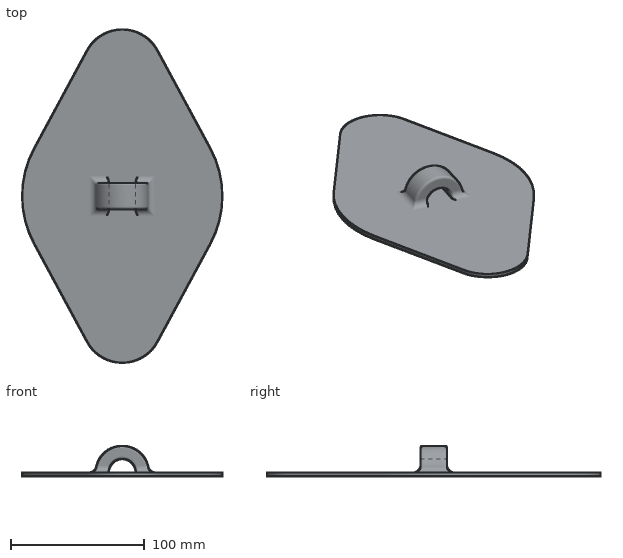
import cadquery as cq
import math

length = 249.8
width = 150.0
thickness = 3.0
side_radius = width / 2
end_radius = 30.0
end_center = length / 2 - end_radius

loop_radius = 20.0
hole_radius = 10.0
loop_width = 20.0
edge_radius = 2.0
flare_radius = 5.0

root_depth = 2.5
lip = 2.5

half_width = loop_width / 2
toe_y = half_width + flare_radius
toe_x = math.sqrt((loop_radius + flare_radius) ** 2 - flare_radius**2)
contact_ratio = loop_radius / (loop_radius + flare_radius)
hole_root_x = math.sqrt(hole_radius**2 - root_depth**2)
neck_x = toe_x * contact_ratio
neck_z = flare_radius * contact_ratio


def point_on_flare(center, angle):
    """Point on a flare arc whose centre lies one flare radius above the plate."""
    return (
        center + flare_radius * math.cos(angle),
        flare_radius + flare_radius * math.sin(angle),
    )


def mirrored(point):
    return (-point[0], point[1])


def make_plate():
    angle = math.asin((side_radius - end_radius) / end_center)
    side = (side_radius * math.cos(angle), side_radius * math.sin(angle))
    end = (end_radius * math.cos(angle), end_center + end_radius * math.sin(angle))
    return (
        cq.Workplane("XY", origin=(0, 0, -thickness))
        .moveTo(side[0], -side[1])
        .threePointArc((side_radius, 0), side)
        .lineTo(*end)
        .threePointArc((0, length / 2), mirrored(end))
        .lineTo(*mirrored(side))
        .threePointArc((-side_radius, 0), (-side[0], -side[1]))
        .lineTo(-end[0], -end[1])
        .threePointArc((0, -length / 2), (end[0], -end[1]))
        .close()
        .extrude(thickness)
    )


def make_arch_profile():
    """Arch with flared outer feet, seen along Y."""
    neck_angle = math.atan2(neck_z - flare_radius, neck_x - toe_x)
    middle = point_on_flare(toe_x, (neck_angle % (2 * math.pi) + 1.5 * math.pi) / 2)
    outer = toe_x + lip
    return (
        cq.Workplane("XZ")
        .moveTo(outer, -root_depth)
        .lineTo(outer, 0)
        .lineTo(toe_x, 0)
        .threePointArc(middle, (neck_x, neck_z))
        .threePointArc((0, loop_radius), (-neck_x, neck_z))
        .threePointArc(mirrored(middle), (-toe_x, 0))
        .lineTo(-outer, 0)
        .lineTo(-outer, -root_depth)
        .lineTo(-hole_root_x, -root_depth)
        .threePointArc((0, hole_radius), (hole_root_x, -root_depth))
        .close()
        .extrude(toe_y + lip, both=True)
    )


def make_side_profile():
    """Upright band with flared feet, seen along X."""
    middle = point_on_flare(toe_y, 1.25 * math.pi)
    outer = toe_y + lip
    return (
        cq.Workplane("YZ")
        .moveTo(outer, -root_depth)
        .lineTo(outer, 0)
        .lineTo(toe_y, 0)
        .threePointArc(middle, (half_width, flare_radius))
        .lineTo(half_width, loop_radius)
        .lineTo(-half_width, loop_radius)
        .lineTo(-half_width, flare_radius)
        .threePointArc(mirrored(middle), (-toe_y, 0))
        .lineTo(-outer, 0)
        .lineTo(-outer, -root_depth)
        .close()
        .extrude(toe_x + lip, both=True)
    )


def make_loop():
    loop = make_arch_profile().intersect(make_side_profile())
    side_face_arcs = loop.edges("%CIRCLE").edges(
        cq.selectors.BoxSelector(
            (-loop_radius, -loop_width, flare_radius / 2),
            (loop_radius, loop_width, loop_radius),
        )
    )
    return side_face_arcs.fillet(edge_radius)


result = make_plate().union(make_loop())